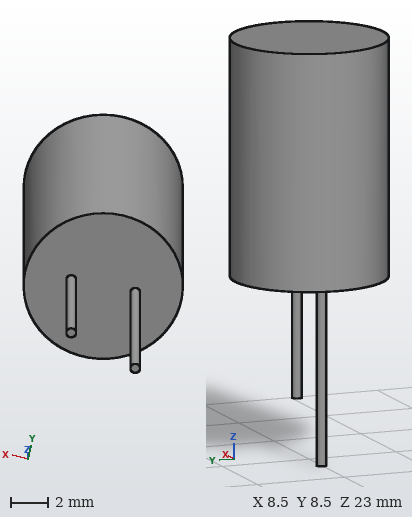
import cadquery as cq

total_height = 23.0
can_diameter = 8.5
long_lead_length = 10.0
can_height = total_height - long_lead_length

lead_diameter = 0.53
lead_pitch = 3.5
short_lead_length = 7.0


def make_can():
    """Plain cylindrical can standing on the plane Z = 0."""
    return cq.Workplane("XY").circle(can_diameter / 2).extrude(can_height)


def make_lead(x, length):
    """Round wire hanging from the underside of the can."""
    return cq.Workplane("XY").center(x, 0).circle(lead_diameter / 2).extrude(-length)


can = make_can()

lead_layout = [
    (-lead_pitch / 2, long_lead_length),
    (lead_pitch / 2, short_lead_length),
]
leads = [make_lead(x, length) for x, length in lead_layout]

result = cq.Compound.makeCompound([can.val(), *[lead.val() for lead in leads]])